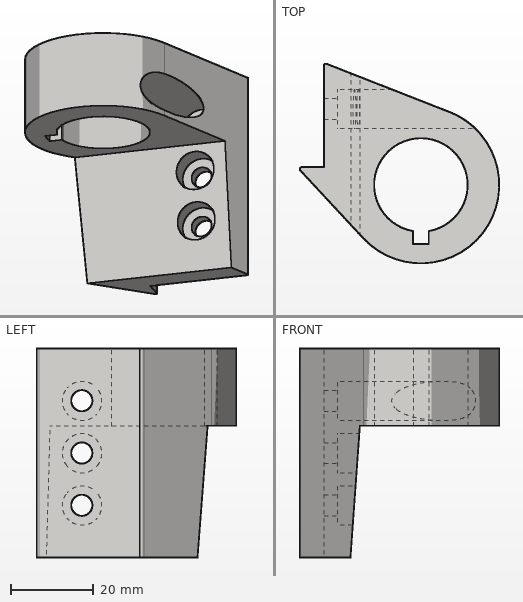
import cadquery as cq
import math

height = 50.8
ring_radius = 19.05
ring_height = 18.8
bore_radius = 11.35
keyway_width = 3.75
keyway_reach = 14.3

flange_face_x = -23.55
flange_top_y = 29.45
lip_tip_x = -29.4
lip_face_y = 4.35
tip_radius = 0.5

back_face_top_x = -14.8
back_face_bottom_x = -17.05

bolt_y = 18.5
bolt_spacing = height / 4
bolt_diameter = 5.1
bolt_head_diameter = 9.55
bolt_seat_depth = 3.25

ring_underside_z = height - ring_height
overrun = 2 * ring_radius


def polar(center, radius, angle):
    return (center[0] + radius * math.cos(angle), center[1] + radius * math.sin(angle))


def tangent_angle(center, side):
    """Direction normal to the line touching both a tip circle and the ring circle."""
    distance = math.hypot(*center)
    spread = math.acos((ring_radius - tip_radius) / distance)
    return math.atan2(center[1], center[0]) + side * spread


def make_profile():
    """Teardrop-like block: two rounded tips joined to the ring by tangent lines."""
    axis = (0, 0)
    upper_tip = (flange_face_x + tip_radius, flange_top_y - tip_radius)
    lip_tip = (lip_tip_x + tip_radius, lip_face_y - tip_radius)
    upper_angle = tangent_angle(upper_tip, -1)
    lower_angle = tangent_angle(lip_tip, 1)
    ring_middle_angle = (upper_angle + lower_angle) / 2 - math.pi
    return (
        cq.Workplane("XY")
        .moveTo(flange_face_x, lip_face_y)
        .lineTo(flange_face_x, upper_tip[1])
        .threePointArc(
            polar(upper_tip, tip_radius, (math.pi + upper_angle) / 2),
            polar(upper_tip, tip_radius, upper_angle),
        )
        .lineTo(*polar(axis, ring_radius, upper_angle))
        .threePointArc(
            polar(axis, ring_radius, ring_middle_angle),
            polar(axis, ring_radius, lower_angle),
        )
        .lineTo(*polar(lip_tip, tip_radius, lower_angle))
        .threePointArc(
            polar(lip_tip, tip_radius, (math.pi / 2 + lower_angle) / 2),
            (lip_tip[0], lip_face_y),
        )
        .close()
    )


def make_relief():
    """Space below the ring, bounded by the sloping back face of the flange."""
    return (
        cq.Workplane("XZ")
        .polyline([
            (back_face_bottom_x, 0),
            (back_face_top_x, ring_underside_z),
            (overrun, ring_underside_z),
            (overrun, 0),
        ])
        .close()
        .extrude(overrun, both=True)
    )


def make_bore():
    bore = cq.Workplane("XY").circle(bore_radius).extrude(height)
    keyway = (
        cq.Workplane("XY")
        .center(0, -keyway_reach / 2)
        .rect(keyway_width, keyway_reach)
        .extrude(height)
    )
    return bore.union(keyway)


def make_bolt_hole(z):
    """Hole along X, counterbored from the back through to the outside."""
    face = cq.Workplane("YZ", origin=(flange_face_x, bolt_y, z))
    shank = face.circle(bolt_diameter / 2).extrude(bolt_seat_depth)
    head = face.workplane(offset=bolt_seat_depth).circle(bolt_head_diameter / 2).extrude(overrun)
    return shank.union(head)


result = make_profile().extrude(height).cut(make_relief()).cut(make_bore())
for row in range(1, 4):
    result = result.cut(make_bolt_hole(row * bolt_spacing))